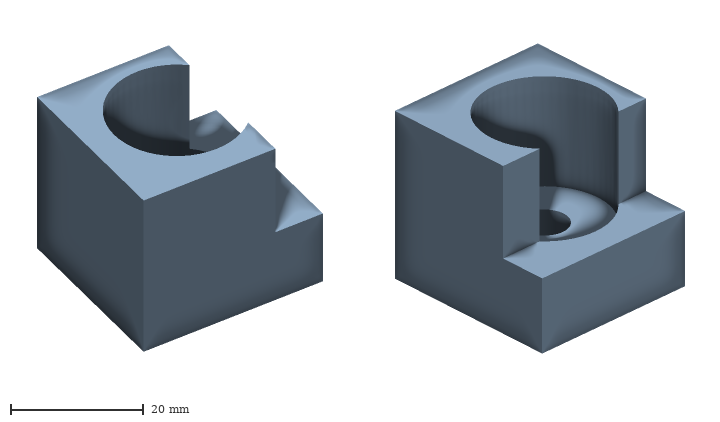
import cadquery as cq

width = 29.9
depth = 32.0
height = 29.0

step_depth = 8.48
step_height = 13.0

bore_diameter = 22.3
hole_diameter = 8.0
bore_x = 14.0
bore_y = depth / 2
bore_depth_below_step = 3.0
bore_floor = step_height - bore_depth_below_step


def vertical_cylinder(diameter, bottom):
    """Cylinder on the bore axis, from the given height to the top of the block."""
    return (
        cq.Workplane("XY", origin=(bore_x, bore_y, bottom))
        .circle(diameter / 2)
        .extrude(height - bottom)
    )


body = (
    cq.Workplane("YZ")
    .moveTo(0, 0)
    .lineTo(depth, 0)
    .lineTo(depth, step_height)
    .lineTo(depth - step_depth, step_height)
    .lineTo(depth - step_depth, height)
    .lineTo(0, height)
    .close()
    .extrude(width)
)

bore = vertical_cylinder(bore_diameter, bore_floor)
through_hole = vertical_cylinder(hole_diameter, 0)
result = body.cut(bore).cut(through_hole)